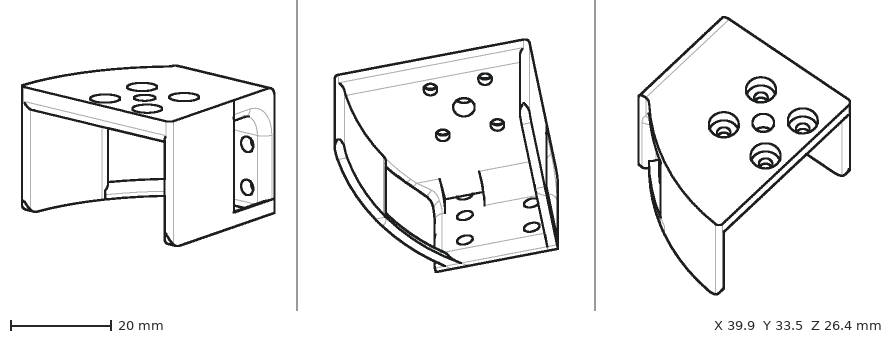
import cadquery as cq
import math

width = 39.95
depth = 33.5
height = 26.35
right_slope = 0.049
arc_radius = 41.95
rear_left_x = 13.35

wall = 2.0
rear_wall = 3.0
plate = 5.0
ceiling_z = height - plate
rear_face_y = depth - rear_wall

edge_radius = 2.0
front_radius = wall / 2
foot_radius = 3.0
junction_radius = 5.0
blend_radius = 2.0

window_front_y = 20.5
rail_height = 3.0
rail_end_angle = 60.0

rear_hole_diameter = 3.2
rear_holes = [(19.97, 5.07), (33.65, 5.07), (19.97, 14.0), (33.65, 14.0), (19.97, 21.55)]
relief_x = 19.97
relief_width = 8.05

plate_hole_center = (24.45, 10.0)
plate_hole_spacing = 11.2
center_hole_diameter = 4.3
screw_hole_diameter = 2.7
counterbore_diameter = 6.0
counterbore_depth = 3.0

right_front_x = width + front_radius * right_slope
right_rear_x = right_front_x - depth * right_slope
inner_radius = arc_radius - wall


def arc_x(radius, y):
    """X of the left side arc of the given radius at a given y."""
    return arc_radius - math.sqrt(radius**2 - y**2)


def box(start, end):
    """Axis-aligned box between two opposite corners."""
    size = [b - a for a, b in zip(start, end)]
    return cq.Workplane("XY").box(*size, centered=False).translate(start)


def make_outline():
    """Full-height block with the plan shape of the part."""
    blend_x = rear_left_x - blend_radius
    blend_y = math.sqrt((arc_radius + blend_radius) ** 2 - (arc_radius - blend_x) ** 2)
    reach = arc_radius / (arc_radius + blend_radius)
    arc_end = (arc_radius + (blend_x - arc_radius) * reach, blend_y * reach)
    arc_mid_y = arc_end[1] / 2
    blend_angle = math.atan2(arc_end[1] - blend_y, arc_end[0] - blend_x) / 2
    blend_mid = (
        blend_x + blend_radius * math.cos(blend_angle),
        blend_y + blend_radius * math.sin(blend_angle),
    )
    return (
        cq.Workplane("XY")
        .moveTo(0, 0)
        .threePointArc((arc_x(arc_radius, arc_mid_y), arc_mid_y), arc_end)
        .threePointArc(blend_mid, (rear_left_x, blend_y))
        .lineTo(rear_left_x, depth)
        .lineTo(right_rear_x, depth)
        .lineTo(right_front_x, 0)
        .close()
        .extrude(height)
    )


def rounding_cutter(y, z, radius, y_inward, z_inward):
    """Waste outside a round of the given radius on an edge along X; inward signs point into the material."""
    rod = (
        cq.Workplane("YZ")
        .center(y + y_inward * radius, z + z_inward * radius)
        .circle(radius)
        .extrude(2 * width, both=True)
    )
    corner = cq.Workplane("XY").box(4 * width, 2 * radius, 2 * radius).translate((0, y, z))
    return corner.cut(rod)


def make_core(outline):
    """Plate and rear wall with rounded edges, before the side walls are added."""
    opening = (
        box((-width, -depth, -height), (2 * width, rear_face_y, ceiling_z))
        .edges(cq.selectors.NearestToPointSelector((width / 2, rear_face_y, ceiling_z)))
        .fillet(junction_radius)
    )
    core = outline.cut(opening)
    for x in (arc_x(arc_radius, depth / 2), (right_front_x + right_rear_x) / 2):
        side_edge = cq.selectors.NearestToPointSelector((x, depth / 2, ceiling_z))
        core = core.edges(side_edge).fillet(edge_radius)
    core = core.edges("|Z and <Y").fillet(front_radius)
    core = core.cut(rounding_cutter(0, ceiling_z, edge_radius, 1, 1))
    core = core.cut(rounding_cutter(rear_face_y, 0, edge_radius, 1, 1))
    core = core.cut(rounding_cutter(depth, height, edge_radius, -1, -1))
    relief = box(
        (relief_x - relief_width / 2, rear_face_y - junction_radius, ceiling_z - junction_radius),
        (relief_x + relief_width / 2, rear_face_y, ceiling_z),
    )
    return core.cut(relief)


def arc_point(radius, angle):
    """Point on a side arc, the angle being measured from the front."""
    return (arc_radius - radius * math.cos(angle), radius * math.sin(angle))


def make_left_wall():
    """Curved wall from the front to its window, with a round front and a rounded window edge."""
    window_angle = math.asin(window_front_y / arc_radius)
    round_angle = window_angle - edge_radius / arc_radius
    center_x, center_y = arc_point(arc_radius, round_angle)
    diagonal = round_angle - math.pi / 4
    round_mid = (
        center_x + edge_radius * math.cos(diagonal),
        center_y - edge_radius * math.sin(diagonal),
    )
    front_outer = (arc_x(arc_radius, front_radius), front_radius)
    front_inner = (arc_x(inner_radius, front_radius), front_radius)
    front_middle = ((front_outer[0] + front_inner[0]) / 2, 0)
    return (
        cq.Workplane("XY")
        .moveTo(*front_outer)
        .threePointArc(arc_point(arc_radius, window_angle / 2), arc_point(arc_radius, window_angle))
        .threePointArc(round_mid, arc_point(inner_radius, round_angle))
        .threePointArc(arc_point(inner_radius, round_angle / 2), front_inner)
        .threePointArc(front_middle, front_outer)
        .close()
        .extrude(height)
    )


def lean_right(block):
    """Tilt a block built along X = 0 so that its outer face lies on the leaning right side."""
    lean = math.atan(right_slope)
    return block.rotate((0, 0, 0), (0, 0, 1), math.degrees(lean)).translate(
        (right_front_x, front_radius * math.sin(lean), 0)
    )


def make_right_wall():
    """Leaning wall from the front to its window, with a round front and a rounded window edge."""
    round_start_y = window_front_y - edge_radius
    diagonal = edge_radius * math.sqrt(0.5)
    straight_wall = (
        cq.Workplane("XY")
        .moveTo(0, front_radius)
        .lineTo(0, window_front_y)
        .threePointArc((-diagonal, round_start_y + diagonal), (-wall, round_start_y))
        .lineTo(-wall, front_radius)
        .threePointArc((-front_radius, 0), (0, front_radius))
        .close()
        .extrude(height)
    )
    return lean_right(straight_wall)


def rail_section(outer_x):
    """Rail profile in XZ, its inner top edge fully rounded towards +X."""
    round_start_z = rail_height - edge_radius
    diagonal = edge_radius * math.sqrt(0.5)
    return (
        cq.Workplane("XZ")
        .moveTo(outer_x, 0)
        .lineTo(outer_x, rail_height)
        .threePointArc((outer_x + diagonal, round_start_z + diagonal), (outer_x + wall, round_start_z))
        .lineTo(outer_x + wall, 0)
        .close()
    )


def make_left_rail():
    """Curved rail below the left window."""
    return (
        rail_section(-arc_radius)
        .revolve(rail_end_angle, (0, 0), (0, -1))
        .translate((arc_radius, 0, 0))
        .intersect(rail_limits)
    )


def make_right_rail():
    """Straight rail below the right window."""
    straight_rail = rail_section(0).extrude(-2 * depth).mirror("YZ")
    return lean_right(straight_rail).intersect(rail_limits)


def drill_plate(body):
    """Center hole and four counterbored screw holes through the plate."""
    plate_top = body.faces(">Z").workplane(origin=(*plate_hole_center, height))
    body = plate_top.hole(center_hole_diameter, plate)
    return (
        body.faces(">Z")
        .workplane(origin=(*plate_hole_center, height))
        .rect(plate_hole_spacing, plate_hole_spacing, forConstruction=True)
        .vertices()
        .cboreHole(screw_hole_diameter, counterbore_diameter, counterbore_depth, plate)
    )


def drill_rear_wall(body):
    """Plain holes through the rear wall."""
    drills = (
        cq.Workplane("XZ", origin=(0, depth, 0))
        .pushPoints(rear_holes)
        .circle(rear_hole_diameter / 2)
        .extrude(rear_wall)
    )
    return body.cut(drills)


rail_limits = box((0, window_front_y - edge_radius, 0), (width, depth, rail_height))
body = make_core(make_outline())
foot_cutter = rounding_cutter(0, 0, foot_radius, 1, 1)
for side_wall in (make_left_wall(), make_right_wall()):
    body = body.union(side_wall.cut(foot_cutter))
for rail in (make_left_rail(), make_right_rail()):
    body = body.union(rail)
result = drill_rear_wall(drill_plate(body))